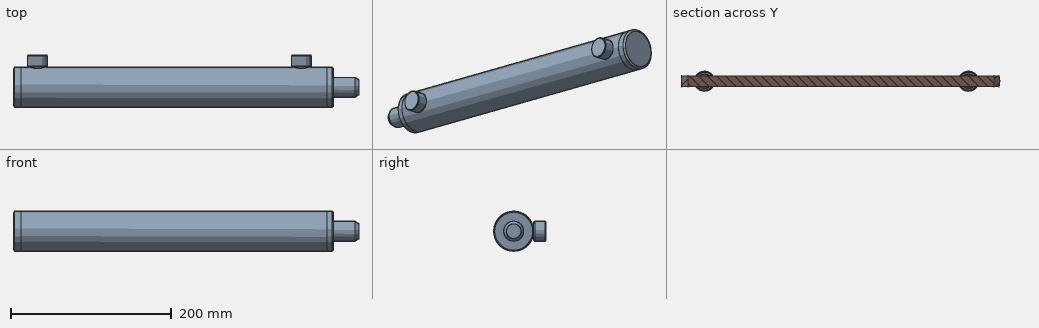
import cadquery as cq

overall_length = 430.0
body_diameter = 50.0
body_radius = body_diameter / 2
cap_length = 10.0
cap_chamfer_length = 1.7
cap_chamfer_depth = 2.5
gland_start = 390.0
gland_face = 397.8
gland_chamfer = 1.5

rod_diameter = 25.0
rod_radius = rod_diameter / 2
rod_tip_length = 5.0
rod_tip_depth = 3.5

overall_width = 65.0
port_top = overall_width - body_radius
port_diameter = 25.0
port_radius = port_diameter / 2
port_shoulder = body_radius
port_lower_chamfer = 1.5
port_upper_chamfer = 1.0
port_neck_radius = 9.0
port_positions = (30.0, 358.0)



def revolve_about_x(points):
    """Revolve a closed (x, radius) outline about the X axis."""
    return cq.Workplane("XY").polyline(points).close().revolve(360, (0, 0, 0), (1, 0, 0))


def make_end_cap():
    return revolve_about_x([
        (0, 0),
        (0, body_radius - cap_chamfer_depth),
        (cap_chamfer_length, body_radius),
        (cap_length, body_radius),
        (cap_length, 0),
    ])


def make_barrel():
    barrel_length = gland_start - cap_length
    return cq.Workplane("YZ", origin=(cap_length, 0, 0)).circle(body_radius).extrude(barrel_length)


def make_gland():
    """Ring that closes the rod end, bored to the rod diameter."""
    return revolve_about_x([
        (gland_start, rod_radius),
        (gland_start, body_radius),
        (gland_face - gland_chamfer, body_radius),
        (gland_face, body_radius - gland_chamfer),
        (gland_face, rod_radius),
    ])


def make_rod():
    """Rod through the gland, with a tapered outer tip."""
    return revolve_about_x([
        (gland_start, 0),
        (gland_start, rod_radius),
        (overall_length - rod_tip_length, rod_radius),
        (overall_length, rod_radius - rod_tip_depth),
        (overall_length, 0),
    ])


def make_port(x, barrel):
    """Port boss with a narrower neck, trimmed to sit on the round barrel."""
    outline = [
        (0, 0),
        (port_neck_radius, 0),
        (port_neck_radius, port_shoulder),
        (port_radius - port_lower_chamfer, port_shoulder),
        (port_radius, port_shoulder + port_lower_chamfer),
        (port_radius, port_top - port_upper_chamfer),
        (port_radius - port_upper_chamfer, port_top),
        (0, port_top),
    ]
    boss = cq.Workplane("XY").polyline(outline).close().revolve(360, (0, 0, 0), (0, 1, 0))
    return boss.translate((x, 0, 0)).cut(barrel)


end_cap = make_end_cap()
barrel = make_barrel()
gland = make_gland()
rod = make_rod()
ports = [make_port(x, barrel) for x in port_positions]

result = cq.Compound.makeCompound([
    end_cap.val(),
    barrel.val(),
    gland.val(),
    rod.val(),
    *[port.val() for port in ports],
])